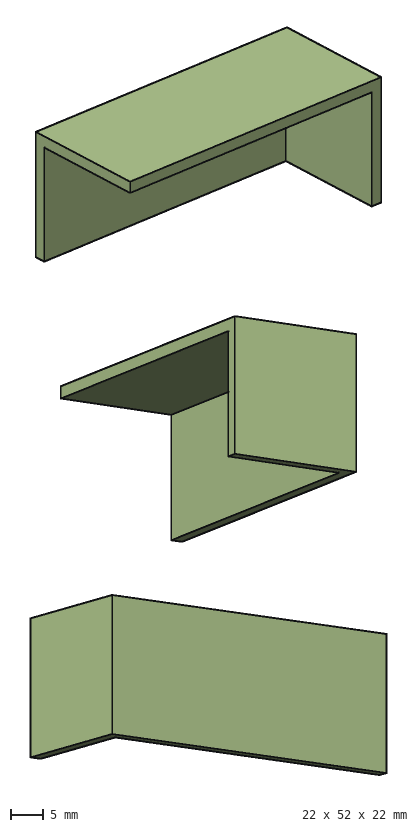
import cadquery as cq

length = 52.0
side = 22.0
wall = 2.0

block = cq.Workplane("XY").box(side, length, side, centered=False)

inner_space = (
    cq.Workplane("XY")
    .box(side - wall, length - wall, side - wall, centered=False)
    .translate((wall, 0, 0))
)

result = block.cut(inner_space)